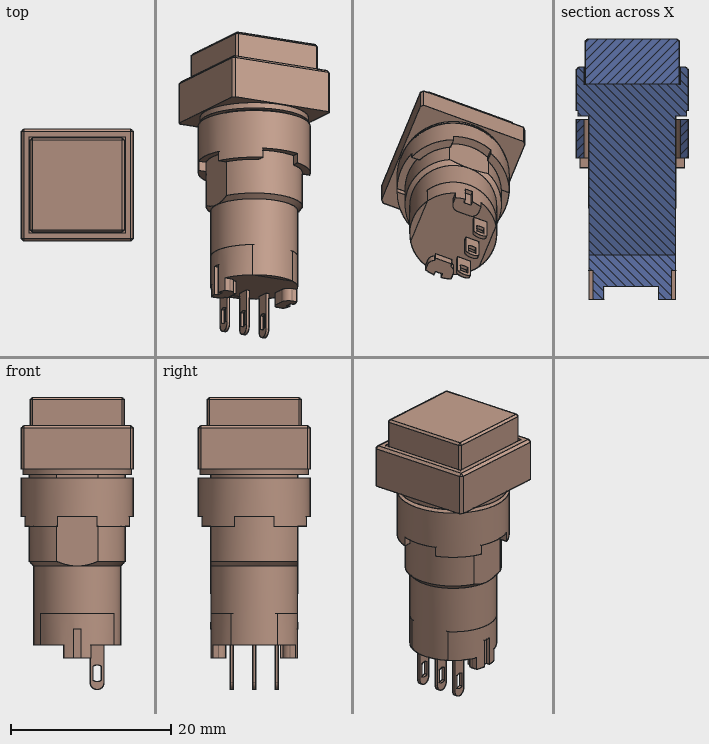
import cadquery as cq

height = 36.5

button_side = 11.75
button_edge_chamfer = 0.275

bezel_side = 14.0
bezel_top = 33.0
bezel_bottom = 27.55
bezel_edge_chamfer = 0.33
pocket_side = 12.05
pocket_depth = 2.2
flange_radius = 6.8
flange_bottom = 26.85
barrel_radius = 6.02
barrel_bottom = 15.45
rear_radius = 5.45
rear_bottom = 5.55
barrel_chamfer = barrel_radius - rear_radius
barrel_flat_distance = rear_radius

nut_radius = bezel_side / 2
nut_top = 26.45
nut_bottom = 20.4
nut_notch_width = 4.95
nut_notch_depth = 1.2

block_width = 9.2
block_top = 9.5
tab_width = 3.43
tab_bottom = 3.95
tab_inner_distance = 3.55
tab_corner_radius = 0.9
rib_width = 2.2
rib_inner_distance = 3.25
key_slot_width = 0.95
key_slot_depth = 0.5
key_slot_top = 7.55

terminal_x = 2.5
terminal_pitch = 2.8
terminal_width = 1.75
terminal_thickness = 0.4
terminal_hole_width = 1.0
terminal_hole_bottom = 1.02
terminal_hole_top = 3.05
terminal_hole_end_rise = 0.15


def cylinder(radius, bottom, top):
    return cq.Workplane("XY").workplane(offset=bottom).circle(radius).extrude(top - bottom)


def block(width, depth, bottom, top, y=0.0):
    """Box centred on X = 0 and on the given Y."""
    return (
        cq.Workplane("XY").workplane(offset=bottom).center(0, y).rect(width, depth).extrude(top - bottom)
    )


def make_button():
    pocket_floor = bezel_top - pocket_depth
    return (
        block(button_side, button_side, pocket_floor, height)
        .edges("|Z or >Z")
        .chamfer(button_edge_chamfer)
    )


def make_bezel():
    bezel = (
        block(bezel_side, bezel_side, bezel_bottom, bezel_top)
        .edges("|Z or >Z")
        .chamfer(bezel_edge_chamfer)
    )
    return bezel.cut(block(pocket_side, pocket_side, bezel_top - pocket_depth, bezel_top))


def make_barrel():
    """Cylinder with a chamfered lower rim and one flat on each of its -Y and +Y sides."""
    barrel = cylinder(barrel_radius, barrel_bottom, flange_bottom).faces("<Z").chamfer(barrel_chamfer)
    flats = block(2 * barrel_radius, 2 * barrel_flat_distance, barrel_bottom, flange_bottom)
    return barrel.intersect(flats)


def make_housing():
    block_slot = block(block_width, 2 * rear_radius, rear_bottom, block_top)
    return (
        make_bezel()
        .union(cylinder(flange_radius, flange_bottom, bezel_bottom))
        .union(make_barrel())
        .union(cylinder(rear_radius, rear_bottom, barrel_bottom))
        .cut(block_slot)
    )


def make_nut():
    nut = cylinder(nut_radius, nut_bottom, nut_top).cut(cylinder(barrel_radius, nut_bottom, nut_top))
    notch_top = nut_bottom + nut_notch_depth
    notch = block(nut_notch_width, 2 * nut_radius, nut_bottom, notch_top)
    return nut.cut(notch).cut(notch.rotate((0, 0, 0), (0, 0, 1), 90))


def make_tab(side):
    """Tab below the rim at the given Y side (-1 or +1), flush with the rim and rounded inside."""
    depth = rear_radius - tab_inner_distance
    tab = block(tab_width, depth, tab_bottom, rear_bottom, side * (tab_inner_distance + depth / 2))
    inner_corners = "|Z and >Y" if side < 0 else "|Z and <Y"
    tab = tab.edges(inner_corners).fillet(tab_corner_radius)
    return tab.intersect(cylinder(rear_radius, tab_bottom, rear_bottom))


def make_rib():
    """Rib that stands on the inner face of the +Y tab and ends on its rounded corners."""
    depth = tab_inner_distance + tab_corner_radius - rib_inner_distance
    return block(rib_width, depth, tab_bottom, rear_bottom, rib_inner_distance + depth / 2)


def make_key_slot(side):
    floor = rear_radius - key_slot_depth
    return block(key_slot_width, key_slot_depth, tab_bottom, key_slot_top, side * (floor + key_slot_depth / 2))


def make_terminal(y):
    """Flat blade with a round tip and a tall solder hole with bowed ends."""
    tip_radius = terminal_width / 2
    hole_half_width = terminal_hole_width / 2
    hole_side_bottom = terminal_hole_bottom + terminal_hole_end_rise
    hole_side_top = terminal_hole_top - terminal_hole_end_rise
    blade = (
        cq.Workplane("XZ")
        .moveTo(-tip_radius, rear_bottom)
        .lineTo(-tip_radius, tip_radius)
        .threePointArc((0, 0), (tip_radius, tip_radius))
        .lineTo(tip_radius, rear_bottom)
        .close()
        .extrude(terminal_thickness / 2, both=True)
    )
    hole = (
        cq.Workplane("XZ")
        .moveTo(-hole_half_width, hole_side_bottom)
        .threePointArc((0, terminal_hole_bottom), (hole_half_width, hole_side_bottom))
        .lineTo(hole_half_width, hole_side_top)
        .threePointArc((0, terminal_hole_top), (-hole_half_width, hole_side_top))
        .close()
        .extrude(terminal_thickness / 2, both=True)
    )
    return blade.cut(hole).translate((terminal_x, y, 0))


def make_terminal_block():
    body = cylinder(rear_radius, rear_bottom, block_top).intersect(
        block(block_width, 2 * rear_radius, rear_bottom, block_top)
    )
    body = body.union(make_rib())
    for side in (-1, 1):
        body = body.union(make_tab(side)).cut(make_key_slot(side))
    for step in (-1, 0, 1):
        body = body.union(make_terminal(step * terminal_pitch))
    return body


button = make_button()
housing = make_housing()
nut = make_nut()
terminal_block = make_terminal_block()

result = cq.Compound.makeCompound([button.val(), housing.val(), nut.val(), terminal_block.val()])